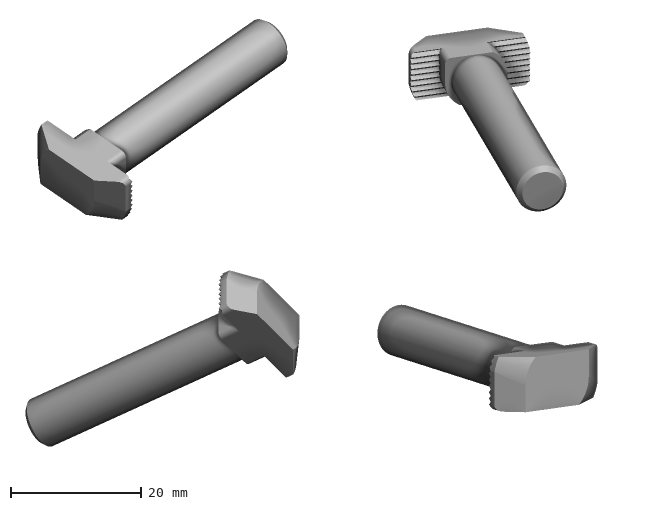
import cadquery as cq
import math

bolt_length = 44.7
head_width = 19.0
head_thickness = 8.5
half_width = head_width / 2
half_thickness = head_thickness / 2

turning_radius = 9.7
face_half_width = 5.8
slope_height = 3.15
corner_radius = 1.0

tooth_tip_y = 4.65
tooth_pitch = 1.0
tooth_depth = 0.5

neck_radius = 5.0
neck_end_y = 7.75
shank_diameter = 8.0
tip_chamfer = 0.75


def outline(sketch, half_size, radius):
    """Rectangle with two opposite corners (-X +Z and +X -Z) rounded about the bolt axis."""
    start_angle = math.acos(half_size / radius)
    end_angle = math.asin(half_thickness / radius)
    middle_angle = (start_angle + end_angle) / 2
    arc_start_z = radius * math.sin(start_angle)
    arc_middle_x = radius * math.cos(middle_angle)
    arc_middle_z = radius * math.sin(middle_angle)
    arc_end_x = radius * math.cos(end_angle)
    return (
        sketch.moveTo(-half_size, -half_thickness)
        .lineTo(-half_size, arc_start_z)
        .threePointArc((-arc_middle_x, arc_middle_z), (-arc_end_x, half_thickness))
        .lineTo(half_size, half_thickness)
        .lineTo(half_size, -arc_start_z)
        .threePointArc((arc_middle_x, -arc_middle_z), (arc_end_x, -half_thickness))
        .close()
    )


def bar(half_size, radius, length):
    """Bar along +Y from the head face, with its two square corners rounded off."""
    body = outline(cq.Workplane("XZ"), half_size, radius).extrude(-length)
    for side in (-1, 1):
        corner = (side * half_size, length / 2, side * half_thickness)
        body = body.edges("|Y").edges(cq.NearestToPointSelector(corner)).fillet(corner_radius)
    return body


def make_head():
    """Crosswise head with sloping ends and a serrated underside."""
    face = outline(cq.Workplane("XZ"), face_half_width, face_half_width)
    slope_end = face.workplane(offset=-slope_height)
    taper = outline(slope_end, half_width, turning_radius).loft(ruled=True)
    straight_part = (
        outline(cq.Workplane("XZ", origin=(0, slope_height, 0)), half_width, turning_radius)
        .extrude(slope_height - tooth_tip_y)
    )
    head = taper.union(straight_part).intersect(bar(half_width, turning_radius, tooth_tip_y))
    return head.cut(make_grooves())


def make_grooves():
    """V grooves along X, one centred on the bolt axis, that leave pointed teeth between them."""
    valley_y = tooth_tip_y - tooth_depth
    grooves_per_side = math.ceil(half_thickness / tooth_pitch)
    grooves = cq.Workplane("YZ", origin=(-half_width, 0, 0))
    for index in range(-grooves_per_side, grooves_per_side + 1):
        valley_z = index * tooth_pitch
        grooves = (
            grooves.moveTo(valley_y, valley_z)
            .lineTo(tooth_tip_y, valley_z + tooth_pitch / 2)
            .lineTo(tooth_tip_y, valley_z - tooth_pitch / 2)
            .close()
        )
    return grooves.extrude(head_width)


def make_shank():
    """Round shank with a chamfered free end."""
    shank = cq.Workplane("XZ").circle(shank_diameter / 2).extrude(-bolt_length)
    return shank.faces(">Y").chamfer(tip_chamfer)


neck = bar(neck_radius, neck_radius, neck_end_y)
result = make_head().union(neck).union(make_shank())